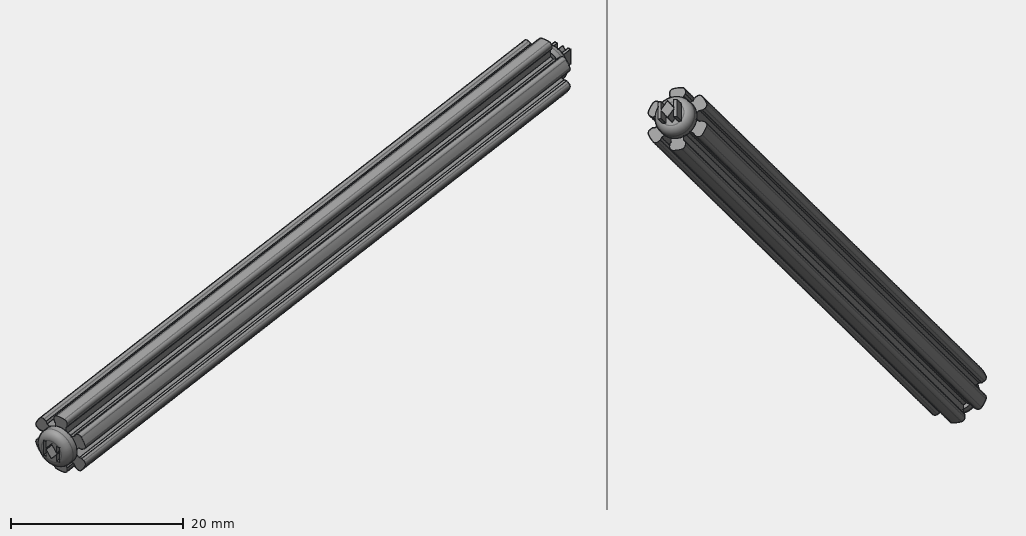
import cadquery as cq
import math

total_length = 97.0
head_length = 1.7
drive_length = 1.6
shaft_start = -total_length / 2 + head_length
shaft_end = total_length / 2 - drive_length - head_length

lobe_count = 6
tip_radius = 3.9
shoulder_radius = 3.0
shoulder_half_width = 1.0
shoulder_rounding = 0.5
neck_radius = 2.7
neck_half_width = 0.8
slot_floor_radius = 1.9

head_radius = 2.4
head_fillet = 1.0

drive_half_width = 1.2
drive_half_height = 1.1
notch_offset = 0.8
notch_half_height = 0.1
socket_depth = drive_length


def plane_at(y):
    """XZ sketch plane at the given Y, whose normal points along -Y."""
    return cq.Workplane("XZ", origin=(0, y, 0))


def lobe():
    """One lobe along +X: a parallel stem under a wider, round-shouldered tip."""
    tip_edge = math.sqrt(tip_radius**2 - shoulder_half_width**2)
    profile = (
        plane_at(shaft_start)
        .moveTo(0, -neck_half_width)
        .lineTo(neck_radius, -neck_half_width)
        .lineTo(shoulder_radius, -shoulder_half_width)
        .lineTo(tip_edge, -shoulder_half_width)
        .threePointArc((tip_radius, 0), (tip_edge, shoulder_half_width))
        .lineTo(shoulder_radius, shoulder_half_width)
        .lineTo(neck_radius, neck_half_width)
        .lineTo(0, neck_half_width)
        .close()
    )
    return profile.extrude(shaft_start - shaft_end).edges("|Y").edges(">X").fillet(shoulder_rounding)


def splined_shaft():
    """Round core with six lobes, leaving V-shaped slots between their stems."""
    pitch = 360 / lobe_count
    shaft = plane_at(shaft_start).circle(slot_floor_radius).extrude(shaft_start - shaft_end)
    for index in range(lobe_count):
        shaft = shaft.union(lobe().rotate((0, 0, 0), (0, 1, 0), (index + 0.5) * pitch))
    return shaft


def drive_prism(start, length):
    """Drive key running toward +Y: flat sides, with a ridge between two notches on top and bottom."""
    outline = [
        (drive_half_width, -drive_half_height),
        (drive_half_width, drive_half_height),
        (notch_offset, drive_half_height),
        (notch_offset, notch_half_height),
        (0, drive_half_height),
        (-notch_offset, notch_half_height),
        (-notch_offset, drive_half_height),
        (-drive_half_width, drive_half_height),
        (-drive_half_width, -drive_half_height),
        (-notch_offset, -drive_half_height),
        (-notch_offset, -notch_half_height),
        (0, -drive_half_height),
        (notch_offset, -notch_half_height),
        (notch_offset, -drive_half_height),
    ]
    return plane_at(start).polyline(outline).close().extrude(-length)


def head(start, outer_face):
    """Round end head with its outer rim filleted."""
    blank = plane_at(start).circle(head_radius).extrude(-head_length)
    return blank.faces(outer_face).edges().fillet(head_fillet)


front_head = head(-total_length / 2, "<Y")
rear_head = head(shaft_end, ">Y")
drive_peg = drive_prism(shaft_end + head_length, drive_length)
drive_socket = drive_prism(-total_length / 2, socket_depth)

result = splined_shaft().union(front_head).union(rear_head).union(drive_peg).cut(drive_socket)